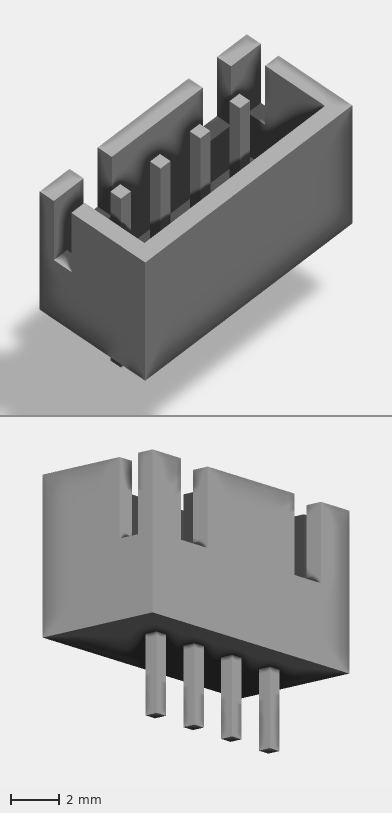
import cadquery as cq

housing_depth = 6.0
housing_length = 12.5
housing_height = 7.0
wall = 0.8
floor_thickness = 1.0

opening_depth = housing_height / 2
key_slot_width = 1.7
key_slot_inset = 1.8
end_slot_width = 1.0

pin_count = 4
pin_pitch = 2.4
pin_width = 0.6
pin_tail = 3.5
pin_tip_recess = 0.5
pin_x = wall + end_slot_width + pin_width / 2
pin_length = pin_tail + housing_height - pin_tip_recess
pin_positions = [(pin_x, (i - (pin_count - 1) / 2) * pin_pitch) for i in range(pin_count)]


def box_from(x_min, y_center, z_min, size_x, size_y, size_z):
    """Box placed by its low X face, its middle in Y and its bottom."""
    return (
        cq.Workplane("XY")
        .box(size_x, size_y, size_z, centered=(False, True, False))
        .translate((x_min, y_center, z_min))
    )


def make_pin(x, y):
    """Square pin running from below the housing to just under the rim."""
    return box_from(x - pin_width / 2, y, -pin_tail, pin_width, pin_width, pin_length)


def make_housing():
    """Box with a cavity, rim openings and a square hole for each pin."""
    body = box_from(0, 0, 0, housing_depth, housing_length, housing_height)

    cavity = box_from(
        wall,
        0,
        floor_thickness,
        housing_depth - 2 * wall,
        housing_length - 2 * wall,
        housing_height - floor_thickness,
    )
    body = body.cut(cavity)

    opening_floor = housing_height - opening_depth
    body = body.cut(box_from(wall, 0, opening_floor, end_slot_width, housing_length, opening_depth))

    key_slot_y = housing_length / 2 - key_slot_inset - key_slot_width / 2
    for y in (-key_slot_y, key_slot_y):
        body = body.cut(box_from(0, y, opening_floor, wall, key_slot_width, opening_depth))

    for x, y in pin_positions:
        body = body.cut(make_pin(x, y))
    return body


housing = make_housing()
pins = [make_pin(x, y) for x, y in pin_positions]

result = cq.Compound.makeCompound([housing.val(), *[pin.val() for pin in pins]])